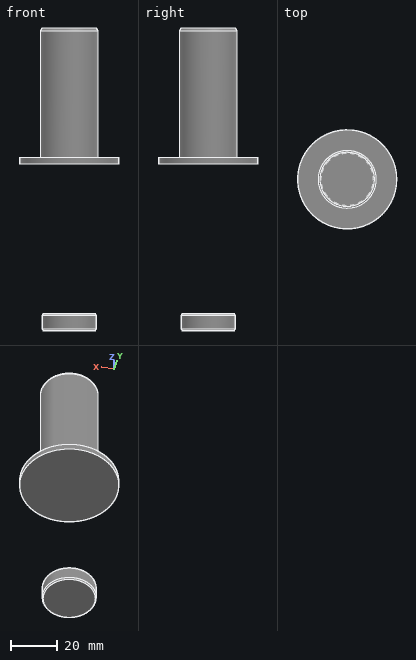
import cadquery as cq
import math

overall_height = 131.0

chamfer_angle = 30.0

flange_diameter = 43.0
flange_thickness = 3.0
shank_diameter = 25.0
pin_length = 59.0
pin_chamfer_height = 1.3

disc_diameter = 23.5
disc_thickness = 7.5
disc_chamfer_height = 0.8


def chamfer_inset(height):
    """Radial depth of a chamfer with the given height along the axis."""
    return height * math.tan(math.radians(chamfer_angle))


def make_pin():
    """Flange with a shank rising from it, chamfered at the free end."""
    shank_length = pin_length - flange_thickness
    flange_base = overall_height - pin_length
    flange = (
        cq.Workplane("XY")
        .workplane(offset=flange_base)
        .circle(flange_diameter / 2)
        .extrude(flange_thickness)
    )
    shank = (
        cq.Workplane("XY")
        .workplane(offset=flange_base + flange_thickness)
        .circle(shank_diameter / 2)
        .extrude(shank_length)
        .faces(">Z")
        .chamfer(pin_chamfer_height, chamfer_inset(pin_chamfer_height))
    )
    return flange.union(shank)


def make_disc():
    """Short cylinder chamfered around both end faces."""
    return (
        cq.Workplane("XY")
        .circle(disc_diameter / 2)
        .extrude(disc_thickness)
        .faces("<Z or >Z")
        .chamfer(disc_chamfer_height, chamfer_inset(disc_chamfer_height))
    )


pin = make_pin()
disc = make_disc()

result = cq.Compound.makeCompound([pin.val(), disc.val()])